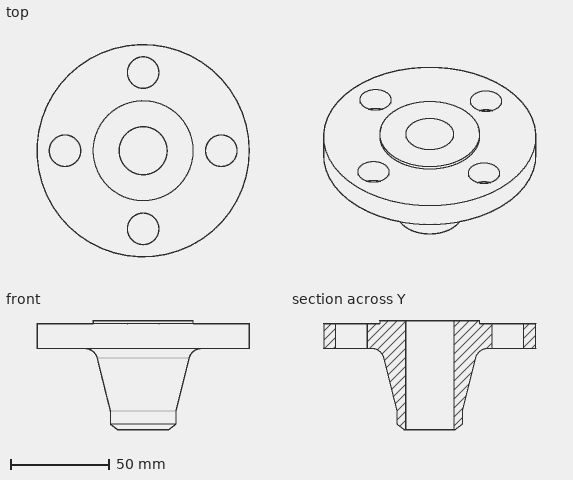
import cadquery as cq
import math

flange_diameter = 107.95
overall_height = 55.56
disc_thickness = 12.7
raised_face_diameter = 50.8
raised_face_height = 1.6

bolt_circle_diameter = 79.4
bolt_hole_diameter = 15.9
bolt_hole_count = 4

bore_diameter = 24.3
hub_base_diameter = 49.2
weld_end_diameter = 33.4
weld_end_length = 9.5
bevel_angle = 37.5
weld_land_width = 0.8
hub_fillet_radius = 6.35

disc_top = overall_height - raised_face_height
disc_bottom = disc_top - disc_thickness

bevel_inner_radius = bore_diameter / 2 + weld_land_width
bevel_width = weld_end_diameter / 2 - bevel_inner_radius
bevel_height = bevel_width * math.tan(math.radians(bevel_angle))


def flange_body():
    """Revolve the half section of the disc, raised face, hub and bore about Z."""
    bore_radius = bore_diameter / 2
    weld_end_radius = weld_end_diameter / 2
    return (
        cq.Workplane("XZ")
        .moveTo(bore_radius, 0)
        .lineTo(bevel_inner_radius, 0)
        .lineTo(weld_end_radius, bevel_height)
        .lineTo(weld_end_radius, weld_end_length)
        .lineTo(hub_base_diameter / 2, disc_bottom)
        .lineTo(flange_diameter / 2, disc_bottom)
        .lineTo(flange_diameter / 2, disc_top)
        .lineTo(raised_face_diameter / 2, disc_top)
        .lineTo(raised_face_diameter / 2, overall_height)
        .lineTo(bore_radius, overall_height)
        .close()
        .revolve(360, (0, 0, 0), (0, 1, 0))
    )


def round_hub_root(body):
    """Fillet the circle where the hub taper meets the underside of the disc."""
    point_on_underside = ((hub_base_diameter + flange_diameter) / 4, 0, disc_bottom)
    underside = body.faces(cq.selectors.NearestToPointSelector(point_on_underside))
    smallest_circle = cq.selectors.RadiusNthSelector(0)
    return underside.edges(smallest_circle).fillet(hub_fillet_radius)


def bolt_holes():
    """Cylinders evenly spaced on the bolt circle, starting on the X axis."""
    return (
        cq.Workplane("XY", origin=(0, 0, disc_bottom))
        .polarArray(bolt_circle_diameter / 2, 0, 360, bolt_hole_count)
        .circle(bolt_hole_diameter / 2)
        .extrude(disc_thickness)
    )


result = round_hub_root(flange_body()).cut(bolt_holes())